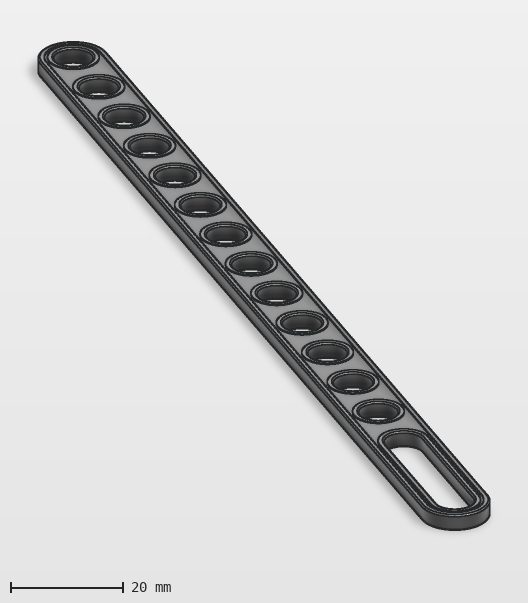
import cadquery as cq

length = 200.0
pitch_count = 16
round_hole_count = 13
hole_diameter = 7.0
collar_diameter = 9.2
recess_depth = 0.2
edge_chamfer = 0.3

pitch = length / pitch_count
width = pitch
thickness = pitch / 4
wall = (collar_diameter - hole_diameter) / 2

first_hole_x = -(length - width) / 2
hole_centers = [(first_hole_x + index * pitch, 0) for index in range(round_hole_count)]
slot_start_x = first_hole_x + round_hole_count * pitch
slot_end_x = (length - width) / 2
slot_travel = slot_end_x - slot_start_x
slot_center_x = (slot_start_x + slot_end_x) / 2


def make_opening_columns(diameter, bottom, height):
    """Solid columns over all round holes and the slot, at the given diameter."""
    base = cq.Workplane("XY", origin=(0, 0, bottom))
    holes = base.pushPoints(hole_centers).circle(diameter / 2).extrude(height)
    slot = base.center(slot_center_x, 0).slot2D(slot_travel + diameter, diameter).extrude(height)
    return holes.union(slot)


def make_strip():
    """Perforated strip with every top and bottom edge chamfered."""
    bar = cq.Workplane("XY").slot2D(length, width).extrude(thickness)
    perforated = bar.cut(make_opening_columns(hole_diameter, 0, thickness))
    return perforated.faces("<Z or >Z").chamfer(edge_chamfer)


def make_recess():
    """Cutter that lowers the top face inside the rim and outside the collars."""
    floor = thickness - recess_depth
    base = cq.Workplane("XY", origin=(0, 0, floor))
    inside_rim = base.slot2D(length - 2 * wall, width - 2 * wall).extrude(recess_depth)
    return inside_rim.cut(make_opening_columns(collar_diameter, floor, recess_depth))


result = make_strip().cut(make_recess())